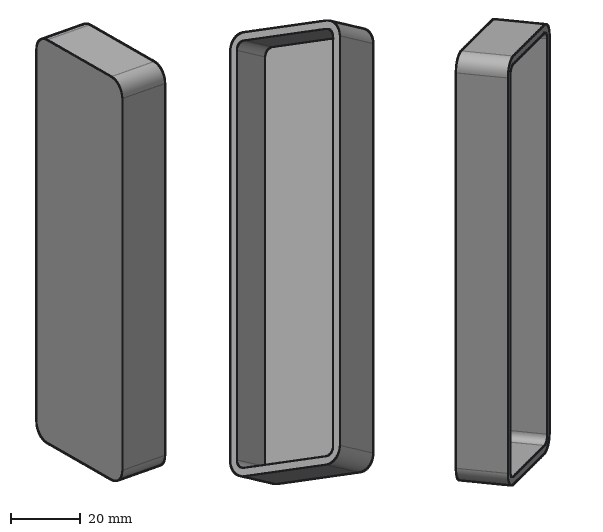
import cadquery as cq

width = 40.0
depth = 15.7
height = 130.0
corner_radius = 5.1

wall = 2.5


def rounded_block(size_x, size_y, size_z, radius):
    """Centred block with its four edges along Y rounded."""
    return cq.Workplane("XY").box(size_x, size_y, size_z).edges("|Y").fillet(radius)


body = rounded_block(width, depth, height, corner_radius)

cavity = rounded_block(
    width - 2 * wall,
    depth,
    height - 2 * wall,
    corner_radius - wall,
).translate((0, wall, 0))

result = body.cut(cavity)